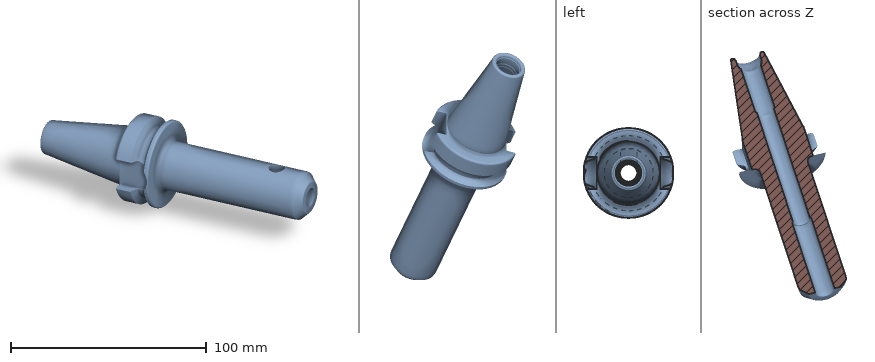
import cadquery as cq
import math

TAPER_LENGTH = 48.4
NOSE_LENGTH = 102.0
REAR_X = -TAPER_LENGTH
FRONT_X = NOSE_LENGTH

GAUGE_DIAMETER = 31.75
TAPER_RATE = 7.0 / 24.0
REAR_ROUND = 1.0
COLLAR_DIAMETER = 31.87

FLANGE_DIAMETER = 46.0
FLANGE_REAR_X = 1.1
FLANGE_FRONT_X = 20.45
FLANGE_REAR_ROUND = 1.2
FLANGE_FRONT_ROUND = 1.0
COLLAR_FILLET = 0.5
GROOVE_FLOOR_DIAMETER = 38.4
GROOVE_FLOOR_REAR_X = 12.0
GROOVE_FLOOR_FRONT_X = 15.9
GROOVE_WALL_ANGLE = 30.0
GROOVE_DEPTH = (FLANGE_DIAMETER - GROOVE_FLOOR_DIAMETER) / 2
GROOVE_WALL_RUN = GROOVE_DEPTH * math.tan(math.radians(GROOVE_WALL_ANGLE))
GROOVE_REAR_X = GROOVE_FLOOR_REAR_X - GROOVE_WALL_RUN
GROOVE_FRONT_X = GROOVE_FLOOR_FRONT_X + GROOVE_WALL_RUN

SLOT_WIDTH = 16.1
SLOT_FLOOR_Y = 16.3
SLOT_END_X = 20.1
SLOT_CHAMFER = 0.35

NOSE_DIAMETER = 25.4
NECK_FILLET = 2.8
TIP_BEVEL_START = 5.5
TIP_CHAMFER_LENGTH = 4.0
TIP_ROUND = 0.6
TIP_BEVEL_DIAMETER = 25.0

MOUTH_ROUND = 1.1
MOUTH_DIAMETER = 13.1
MOUTH_DEPTH = 1.5
PILOT_DIAMETER = 12.5
PILOT_DEPTH = 5.5
RECESS_DIAMETER = 11.7
RECESS_DEPTH = 7.0
STUD_CORE_DIAMETER = 10.11
STUD_CORE_DEPTH = 35.0

PASSAGE_DIAMETER = 8.8
DRILL_TIP_ANGLE = 118.0
TOOL_BORE_DIAMETER = 10.0
TOOL_BORE_DEPTH = 45.0
SCREW_CORE_DIAMETER = 8.38
SCREW_X = 82.9


def taper_radius(x):
    """Radius of the 7/24 taper at the position x."""
    return (GAUGE_DIAMETER + TAPER_RATE * x) / 2


def body():
    """Turned outside shape: taper, collar, grooved flange and nose."""
    nose_r = NOSE_DIAMETER / 2
    collar_r = COLLAR_DIAMETER / 2
    flange_r = FLANGE_DIAMETER / 2
    groove_r = GROOVE_FLOOR_DIAMETER / 2
    taper_end_x = (COLLAR_DIAMETER - GAUGE_DIAMETER) / TAPER_RATE
    bevel_r = TIP_BEVEL_DIAMETER / 2
    blank = (
        cq.Workplane("XY")
        .moveTo(REAR_X, 0)
        .lineTo(REAR_X, taper_radius(REAR_X))
        .lineTo(taper_end_x, collar_r)
        .lineTo(FLANGE_REAR_X - COLLAR_FILLET, collar_r)
        .radiusArc((FLANGE_REAR_X, collar_r + COLLAR_FILLET), -COLLAR_FILLET)
        .lineTo(FLANGE_REAR_X, flange_r - FLANGE_REAR_ROUND)
        .radiusArc((FLANGE_REAR_X + FLANGE_REAR_ROUND, flange_r), FLANGE_REAR_ROUND)
        .lineTo(GROOVE_REAR_X, flange_r)
        .lineTo(GROOVE_FLOOR_REAR_X, groove_r)
        .lineTo(GROOVE_FLOOR_FRONT_X, groove_r)
        .lineTo(GROOVE_FRONT_X, flange_r)
        .lineTo(FLANGE_FRONT_X - FLANGE_FRONT_ROUND, flange_r)
        .radiusArc((FLANGE_FRONT_X, flange_r - FLANGE_FRONT_ROUND), FLANGE_FRONT_ROUND)
        .lineTo(FLANGE_FRONT_X, nose_r + NECK_FILLET)
        .radiusArc((FLANGE_FRONT_X + NECK_FILLET, nose_r), -NECK_FILLET)
        .lineTo(FRONT_X - TIP_BEVEL_START, nose_r)
        .lineTo(FRONT_X - TIP_CHAMFER_LENGTH, bevel_r)
        .lineTo(FRONT_X, bevel_r - TIP_CHAMFER_LENGTH)
        .lineTo(FRONT_X, 0)
        .close()
        .revolve(360, (0, 0, 0), (1, 0, 0))
    )
    return blank.faces("<X").edges().fillet(REAR_ROUND).faces(">X").edges().fillet(TIP_ROUND)


def drive_slot(side):
    """Round-ended slot that runs into the flange from its rear face."""
    half_width = SLOT_WIDTH / 2
    round_center_x = SLOT_END_X - half_width
    depth = FLANGE_DIAMETER / 2 - SLOT_FLOOR_Y
    return (
        cq.Workplane("XZ", origin=(0, side * SLOT_FLOOR_Y, 0))
        .moveTo(0, -half_width)
        .lineTo(round_center_x, -half_width)
        .radiusArc((round_center_x, half_width), -half_width)
        .lineTo(0, half_width)
        .close()
        .extrude(-side * depth)
    )


def slot_wall_edges(side, wall):
    """Rear and outer edges of one straight slot wall, up to the gripper groove."""
    margin = 0.15
    wall_z = wall * SLOT_WIDTH / 2
    return cq.selectors.BoxSelector(
        (FLANGE_REAR_X - margin, side * (SLOT_FLOOR_Y + margin), wall_z - margin),
        (GROOVE_REAR_X, side * FLANGE_DIAMETER / 2, wall_z + margin),
    )


def central_bore():
    """Stepped bore through the whole length, as a solid to remove."""
    mouth_r = MOUTH_DIAMETER / 2
    pilot_r = PILOT_DIAMETER / 2
    recess_r = RECESS_DIAMETER / 2
    core_r = STUD_CORE_DIAMETER / 2
    passage_r = PASSAGE_DIAMETER / 2
    tool_r = TOOL_BORE_DIAMETER / 2
    pilot_end_x = REAR_X + PILOT_DEPTH
    recess_end_x = REAR_X + RECESS_DEPTH
    core_end_x = REAR_X + STUD_CORE_DEPTH
    core_tip_length = (core_r - passage_r) / math.tan(math.radians(DRILL_TIP_ANGLE / 2))
    tool_bore_x = FRONT_X - TOOL_BORE_DEPTH
    return (
        cq.Workplane("XY")
        .moveTo(REAR_X, 0)
        .lineTo(REAR_X, mouth_r + MOUTH_ROUND)
        .radiusArc((REAR_X + MOUTH_ROUND, mouth_r), -MOUTH_ROUND)
        .lineTo(REAR_X + MOUTH_DEPTH, mouth_r)
        .lineTo(REAR_X + MOUTH_DEPTH + mouth_r - pilot_r, pilot_r)
        .lineTo(pilot_end_x, pilot_r)
        .lineTo(pilot_end_x + pilot_r - recess_r, recess_r)
        .lineTo(recess_end_x, recess_r)
        .lineTo(recess_end_x, core_r)
        .lineTo(core_end_x, core_r)
        .lineTo(core_end_x + core_tip_length, passage_r)
        .lineTo(tool_bore_x, passage_r)
        .lineTo(tool_bore_x, tool_r)
        .lineTo(FRONT_X, tool_r)
        .lineTo(FRONT_X, 0)
        .close()
        .revolve(360, (0, 0, 0), (1, 0, 0))
    )


def screw_hole():
    """Radial hole from the top of the nose into the tool bore."""
    return (
        cq.Workplane("XY", origin=(SCREW_X, 0, 0))
        .circle(SCREW_CORE_DIAMETER / 2)
        .extrude(NOSE_DIAMETER)
    )


SIDES = (1, -1)
holder = body()
for slot_side in SIDES:
    holder = holder.cut(drive_slot(slot_side))
    for slot_wall in SIDES:
        holder = holder.edges(slot_wall_edges(slot_side, slot_wall)).chamfer(SLOT_CHAMFER)

result = holder.cut(central_bore()).cut(screw_hole())